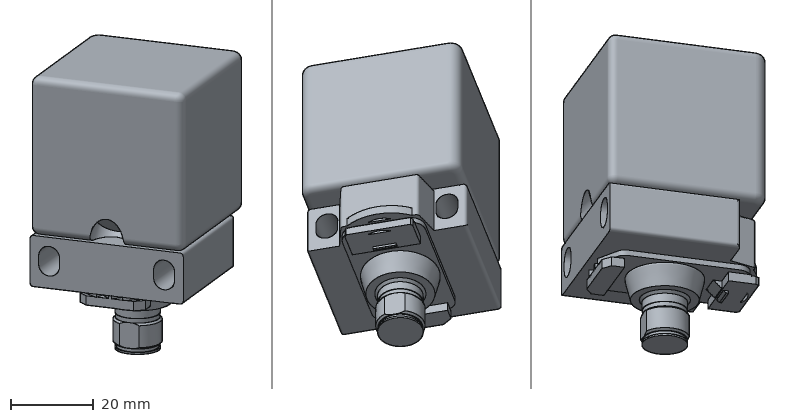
import cadquery as cq
import math


total_height = 71.9
width = 40.0
total_depth = 42.6

head_bottom = total_height - width
head_edge_radius = 1.95
head_rear_corner_radius = 3.0

access_radius = 4.45
access_length = 6.05
access_tilt = 45.0

base_height = 12.95
base_bottom = head_bottom - base_height
base_side_depth = 33.0
rear_block_front_half_width = 11.8
rear_block_rear_half_width = 9.6
base_edge_radius = 0.85

slot_width = 5.5
slot_height = 7.5
slot_spacing = 30.0
slot_z = 25.9

tab_thickness = 2.3
tab_radius = 14.0
tab_root_y = 39.55
tab_opening_radius = 5.25
tab_opening_rear = 40.8

plate_thickness = 1.45
plate_bottom = base_bottom - plate_thickness
plate_half_width = 10.35
plate_front = 1.9
plate_rear = 39.3
plate_shoulder_y = 6.05
plate_shoulder_radius = 2.5
plate_rear_radius = 3.75
prong_half_width = 3.45
nose_root_half_width = 2.7
nose_root_y = 4.3
nose_tip_half_width = 0.4

lug_height = 2.4
lug_half_width = 8.5
front_lug_front = 2.15
front_lug_rear = 7.2
front_lug_chamfer_x = 2.3
front_lug_chamfer_y = 1.8
rear_lug_front = 33.5
rear_lug_rear = 41.3
rear_lug_chamfer_x = 0.4
rear_lug_chamfer_y = 0.8
rear_lug_relief = 0.3

catch_width = 5.75
catch_front = 31.35
catch_tip_y = 34.65
catch_rear = 35.2
catch_bottom = 14.5

connector_y = width / 2
flare_top_radius = 9.6
flare_bottom_radius = 8.35
flare_top = 17.05
flare_bottom = 11.9
spigot_radius = 5.55
collar_radius = 6.2
collar_bottom = 11.2
neck_radius = 5.4
neck_top = 9.05
nut_radius = 6.0
nut_across_flats = 10.8
nut_top = 7.9
nut_bottom = 1.4
nut_chamfer = 0.5
end_groove_radius = 5.2
end_ring_height = 0.5


def box(half_width, front, rear, bottom, height):
    """Block centred on X = 0 between two depths."""
    depth = rear - front
    block = cq.Workplane("XY").box(2 * half_width, depth, height, centered=(True, False, False))
    return block.translate((0, front, bottom))


def make_head():
    head = box(width / 2, 0, width, head_bottom, width)
    head = head.edges("|Z and >Y").fillet(head_rear_corner_radius)
    head = head.edges("|Z and <Y").fillet(head_edge_radius)
    head = head.faces(">Z or <Z").edges().fillet(head_edge_radius)
    tilt = math.radians(access_tilt)
    axis = cq.Vector(0, math.cos(tilt), math.sin(tilt))
    lead_in = 2 * access_radius
    start = cq.Vector(0, 0, head_bottom) - axis * lead_in
    bore = cq.Solid.makeCylinder(access_radius, lead_in + access_length, start, axis)
    return head.cut(cq.Workplane(bore))


def make_base():
    base = box(width / 2, 0, base_side_depth, base_bottom, base_height)
    base = base.edges("|Y or (|Z and >Y)").fillet(base_edge_radius)
    slots = (
        cq.Workplane("XZ", origin=(0, 0, slot_z))
        .pushPoints([(-slot_spacing / 2, 0), (slot_spacing / 2, 0)])
        .slot2D(slot_height, slot_width, 90)
        .extrude(-base_side_depth)
    )
    return base.cut(slots)


def make_rear_block():
    """Narrower tapered block behind the slotted part of the base."""
    block = (
        cq.Workplane("XY", origin=(0, 0, base_bottom))
        .polyline([
            (-rear_block_front_half_width, base_side_depth),
            (-rear_block_rear_half_width, width),
            (rear_block_rear_half_width, width),
            (rear_block_front_half_width, base_side_depth),
        ])
        .close()
        .extrude(base_height)
    )
    return block.edges("(|Z and >Y) or (>Z and (not <Y))").fillet(base_edge_radius)


def make_tab():
    disc = (
        cq.Workplane("XY", origin=(0, total_depth - tab_radius, base_bottom))
        .circle(tab_radius)
        .extrude(tab_thickness)
    )
    return disc.intersect(box(width / 2, tab_root_y, total_depth, base_bottom, tab_thickness))


def make_plate():
    half_outline = [
        (nose_tip_half_width, front_lug_front),
        (nose_root_half_width, nose_root_y),
        (prong_half_width, plate_front),
        (plate_half_width, plate_shoulder_y),
        (plate_half_width, plate_rear),
    ]
    mirrored = [(-x, y) for x, y in reversed(half_outline)]
    plate = (
        cq.Workplane("XY", origin=(0, 0, plate_bottom))
        .polyline(half_outline + mirrored)
        .close()
        .extrude(plate_thickness)
    )
    plate = plate.edges("|Z and >Y").fillet(plate_rear_radius)
    plate_middle_z = plate_bottom + plate_thickness / 2
    for x in (-plate_half_width, plate_half_width):
        shoulder = cq.selectors.NearestToPointSelector((x, plate_shoulder_y, plate_middle_z))
        plate = plate.edges("|Z").edges(shoulder).fillet(plate_shoulder_radius)
    return plate


def make_lugs():
    lug_bottom = plate_bottom - lug_height
    inner = lug_half_width - front_lug_chamfer_x
    chamfer_end = front_lug_front + front_lug_chamfer_y
    front_lug = (
        cq.Workplane("XY", origin=(0, 0, lug_bottom))
        .polyline([
            (-inner, front_lug_front),
            (inner, front_lug_front),
            (lug_half_width, chamfer_end),
            (lug_half_width, front_lug_rear),
            (-lug_half_width, front_lug_rear),
            (-lug_half_width, chamfer_end),
        ])
        .close()
        .extrude(lug_height)
    )
    taper_start = rear_lug_rear - rear_lug_chamfer_y
    rear_half_width = lug_half_width - rear_lug_chamfer_x
    rear_lug = (
        cq.Workplane("XY", origin=(0, 0, lug_bottom))
        .polyline([
            (-lug_half_width, rear_lug_front),
            (lug_half_width, rear_lug_front),
            (lug_half_width, taper_start),
            (rear_half_width, rear_lug_rear),
            (-rear_half_width, rear_lug_rear),
            (-lug_half_width, taper_start),
        ])
        .close()
        .extrude(lug_height)
    )
    relief = box(width / 2, plate_rear, total_depth, plate_bottom - rear_lug_relief, rear_lug_relief)
    rear_lug = rear_lug.cut(relief)
    catch = (
        cq.Workplane("YZ")
        .polyline([
            (catch_front, plate_bottom),
            (catch_tip_y, catch_bottom),
            (catch_rear, catch_bottom),
            (catch_rear, plate_bottom),
        ])
        .close()
        .extrude(catch_width / 2, both=True)
    )
    return front_lug.union(rear_lug).union(catch)


def make_tab_opening():
    """Round opening through the tab and the rear lug, behind the base."""
    opening = (
        cq.Workplane("XY", origin=(0, tab_opening_rear - tab_opening_radius, 0))
        .circle(tab_opening_radius)
        .extrude(head_bottom)
    )
    return opening.intersect(box(width / 2, width, total_depth, 0, head_bottom))


def make_connector():
    body = (
        cq.Workplane("XZ")
        .polyline([
            (0, 0),
            (spigot_radius, 0),
            (spigot_radius, end_ring_height),
            (end_groove_radius, end_ring_height),
            (end_groove_radius, nut_top),
            (neck_radius, nut_top),
            (neck_radius, neck_top),
            (spigot_radius, neck_top),
            (spigot_radius, collar_bottom),
            (collar_radius, flare_bottom),
            (flare_bottom_radius, flare_bottom),
            (flare_top_radius, flare_top),
            (flare_top_radius, plate_bottom),
            (0, plate_bottom),
        ])
        .close()
        .revolve(360, (0, 0, 0), (0, 1, 0))
    )
    nut_height = nut_top - nut_bottom
    nut = cq.Workplane("XY").circle(nut_radius).extrude(nut_height).edges().chamfer(nut_chamfer)
    flats = cq.Workplane("XY").rect(2 * nut_radius, nut_across_flats).extrude(nut_height)
    nut = nut.intersect(flats).translate((0, 0, nut_bottom))
    return body.union(nut).translate((0, connector_y, 0))


result = make_head().union(make_base()).union(make_rear_block())
result = result.union(make_tab()).union(make_plate()).union(make_lugs())
result = result.cut(make_tab_opening()).union(make_connector())